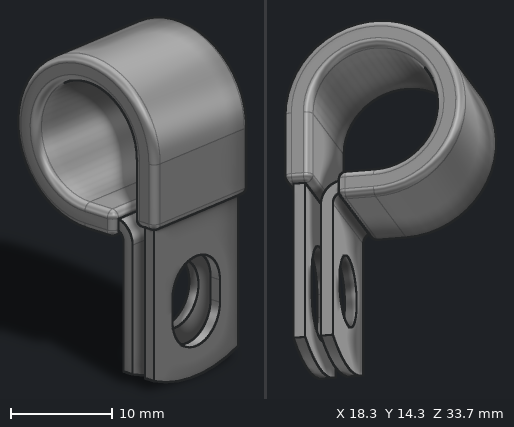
import cadquery as cq
import math


bore_radius = 6.35
cushion_wall = 0.794
strap_thickness = 1.217
strap_width = 12.7
tab_gap = 1.588
bend_outer_radius = 2.38
foot_end_x = 3.72
leg_end_z = -7.144
hole_diameter = 7.144
slot_length = 9.525
hole_z = -16.597
hole_to_tip = 7.938
tip_radius = 16.2

diagonal = math.sqrt(0.5)
cushion_thickness = strap_thickness + 2 * cushion_wall
cushion_width = strap_width + 2 * cushion_wall
loop_radius = bore_radius + cushion_thickness
strap_inner = bore_radius + cushion_wall
strap_outer = strap_inner + strap_thickness
tip_z = hole_z - hole_to_tip
inner_tab_right_x = strap_inner - tab_gap
inner_tab_left_x = inner_tab_right_x - strap_thickness
bend_inner_radius = bend_outer_radius - strap_thickness
bend_x = inner_tab_right_x - bend_outer_radius
bend_z = -strap_inner - bend_outer_radius


def extrude_centred(profile, width):
    """Extrude an XZ profile symmetrically about Y = 0."""
    return profile.extrude(width / 2, both=True)


def make_cushion():
    """Three-quarter loop with a straight foot and leg, all outer edges rounded."""
    profile = (
        cq.Workplane("XZ")
        .moveTo(loop_radius, leg_end_z)
        .lineTo(loop_radius, 0)
        .threePointArc((-loop_radius * diagonal, loop_radius * diagonal), (0, -loop_radius))
        .lineTo(foot_end_x, -loop_radius)
        .lineTo(foot_end_x, -bore_radius)
        .lineTo(0, -bore_radius)
        .threePointArc((-bore_radius * diagonal, bore_radius * diagonal), (bore_radius, 0))
        .lineTo(bore_radius, leg_end_z)
        .close()
    )
    body = extrude_centred(profile, cushion_width)
    mid_radius = (bore_radius + loop_radius) / 2
    foot_end = (foot_end_x, 0, -mid_radius)
    leg_end = (mid_radius, 0, leg_end_z)
    rim = body.faces("<Y or >Y").edges()
    foot_corners = body.faces(cq.NearestToPointSelector(foot_end)).edges("|Y")
    leg_corners = body.faces(cq.NearestToPointSelector(leg_end)).edges("|Y")
    return rim.add(foot_corners).add(leg_corners).fillet(cushion_wall)


def make_inner_tab():
    """Strap leaving the foot and bending down into the tab."""
    profile = (
        cq.Workplane("XZ")
        .moveTo(bend_x, bend_z + bend_outer_radius)
        .threePointArc(
            (bend_x + bend_outer_radius * diagonal, bend_z + bend_outer_radius * diagonal),
            (inner_tab_right_x, bend_z),
        )
        .lineTo(inner_tab_right_x, tip_z)
        .lineTo(inner_tab_left_x, tip_z)
        .lineTo(inner_tab_left_x, bend_z)
        .threePointArc(
            (bend_x + bend_inner_radius * diagonal, bend_z + bend_inner_radius * diagonal),
            (bend_x, bend_z + bend_inner_radius),
        )
        .close()
    )
    return extrude_centred(profile, strap_width)


def make_outer_tab():
    """Straight strap running down out of the cushion leg."""
    top_z = leg_end_z + cushion_wall
    profile = (
        cq.Workplane("XZ")
        .moveTo(strap_inner, top_z)
        .lineTo(strap_outer, top_z)
        .lineTo(strap_outer, tip_z)
        .lineTo(strap_inner, tip_z)
        .close()
    )
    return extrude_centred(profile, strap_width)


def round_tip(tab):
    """Trim the lower edge of a tab to an arc seen along X."""
    half_width = strap_width / 2
    shoulder_z = tip_z + tip_radius - math.sqrt(tip_radius**2 - half_width**2)
    envelope = (
        cq.Workplane("YZ")
        .moveTo(-half_width, shoulder_z)
        .threePointArc((0, tip_z), (half_width, shoulder_z))
        .lineTo(half_width, 0)
        .lineTo(-half_width, 0)
        .close()
        .extrude(loop_radius)
    )
    return tab.intersect(envelope)


def make_screw_hole():
    """Round cutter along X for the inner tab."""
    return cq.Workplane("YZ").center(0, hole_z).circle(hole_diameter / 2).extrude(loop_radius)


def make_adjusting_slot():
    """Round-ended cutter along X, long in Z, for the outer tab."""
    upright = 90
    slot = cq.Workplane("YZ").center(0, hole_z).slot2D(slot_length, hole_diameter, upright)
    return slot.extrude(loop_radius)


inner_tab = round_tip(make_inner_tab()).cut(make_screw_hole())
outer_tab = round_tip(make_outer_tab()).cut(make_adjusting_slot())
result = make_cushion().union(inner_tab).union(outer_tab)